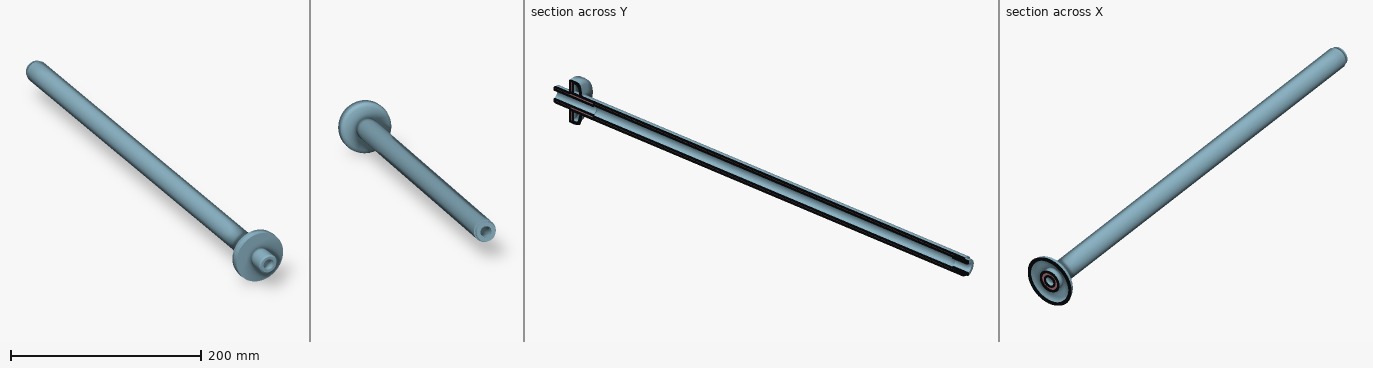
import cadquery as cq

total_length = 526.0
spigot_length = 20.0
flange_thickness = 14.7
base_thickness = 4.0
collar_length = 5.0
flange_back = total_length - spigot_length
flange_front = flange_back - flange_thickness
base_front = flange_back - base_thickness

tube_radius = 12.0
tube_bore_radius = 7.5
socket_radius = 11.0
socket_depth = 30.0

waterway_radius = 6.0
fitting_radius = 10.5
spigot_chamfer = 1.5
bushing_length = 20.0
groove_width = 1.6
groove_depth = 1.5

wall = 1.6
rim_radius = 28.0
base_radius = 27.8
rim_lip_width = 1.5
face_mid_radius = 17.5
face_mid_rise = 0.6
face_radius = 23.0
face_rise = 1.7
shoulder_mid_radius = 25.9
shoulder_mid_rise = 3.0
shoulder_radius = 27.4
shoulder_rise = 4.8


def revolve_about_x(profile):
    return profile.close().revolve(360, (0, 0, 0), (1, 0, 0))


def make_pipe(start, length, outer_radius, inner_radius):
    """Plain round sleeve along the X axis."""
    plane = cq.Workplane("YZ").workplane(offset=start)
    return plane.circle(outer_radius).circle(inner_radius).extrude(length)


def make_tube():
    """Long tube with a wider socket at the rosette end for the nipple."""
    socket_start = flange_back - socket_depth
    return revolve_about_x(
        cq.Workplane("XY")
        .moveTo(collar_length, tube_bore_radius)
        .lineTo(collar_length, tube_radius)
        .lineTo(flange_back, tube_radius)
        .lineTo(flange_back, socket_radius)
        .lineTo(socket_start, socket_radius)
        .lineTo(socket_start, tube_bore_radius)
    )


def make_bushing():
    """Sleeve inside the collar and the free end of the tube, carrying the waterway."""
    return make_pipe(0, bushing_length, tube_bore_radius, waterway_radius)


def make_collar():
    """Grooved ring around the bushing, against the free end of the tube."""
    groove_start = (collar_length - groove_width) / 2
    groove_end = groove_start + groove_width
    groove_radius = fitting_radius - groove_depth
    return revolve_about_x(
        cq.Workplane("XY")
        .moveTo(0, tube_bore_radius)
        .lineTo(0, fitting_radius)
        .lineTo(groove_start, fitting_radius)
        .lineTo(groove_start, groove_radius)
        .lineTo(groove_end, groove_radius)
        .lineTo(groove_end, fitting_radius)
        .lineTo(collar_length, fitting_radius)
        .lineTo(collar_length, tube_bore_radius)
    )


def make_nipple():
    """Nipple seated in the tube socket, with a chamfered spigot behind the rosette."""
    return revolve_about_x(
        cq.Workplane("XY")
        .moveTo(flange_back - socket_depth, waterway_radius)
        .lineTo(flange_back - socket_depth, socket_radius)
        .lineTo(flange_back, socket_radius)
        .lineTo(flange_back, fitting_radius)
        .lineTo(total_length - spigot_chamfer, fitting_radius)
        .lineTo(total_length, fitting_radius - spigot_chamfer)
        .lineTo(total_length, waterway_radius)
    )


def make_rosette():
    """Hollow domed cover around the tube; its rim tapers slightly towards the base ring."""
    face_mid = flange_front + face_mid_rise
    face_edge = flange_front + face_rise
    shoulder_mid = flange_front + shoulder_mid_rise
    shoulder_edge = flange_front + shoulder_rise
    lip_front = base_front - rim_lip_width
    inner_shoulder_radius = shoulder_radius - wall
    inner_shoulder_mid = (shoulder_mid + wall, shoulder_mid_radius - wall)
    inner_face_edge = (face_edge + wall, face_radius - wall)
    inner_face_mid = (face_mid + wall, face_mid_radius - wall / 2)
    return revolve_about_x(
        cq.Workplane("XY")
        .moveTo(flange_front, tube_radius)
        .threePointArc((face_mid, face_mid_radius), (face_edge, face_radius))
        .threePointArc((shoulder_mid, shoulder_mid_radius), (shoulder_edge, shoulder_radius))
        .lineTo(lip_front, rim_radius)
        .lineTo(base_front, base_radius)
        .lineTo(base_front, inner_shoulder_radius)
        .lineTo(shoulder_edge + wall, inner_shoulder_radius)
        .threePointArc(inner_shoulder_mid, inner_face_edge)
        .threePointArc(inner_face_mid, (flange_front + wall, tube_radius))
    )


def make_base_ring():
    """Flat ring behind the rosette."""
    return make_pipe(base_front, base_thickness, base_radius, tube_radius)


tube = make_tube()
bushing = make_bushing()
collar = make_collar()
nipple = make_nipple()
rosette = make_rosette()
base_ring = make_base_ring()
result = cq.Compound.makeCompound(
    [tube.val(), bushing.val(), collar.val(), nipple.val(), rosette.val(), base_ring.val()]
)